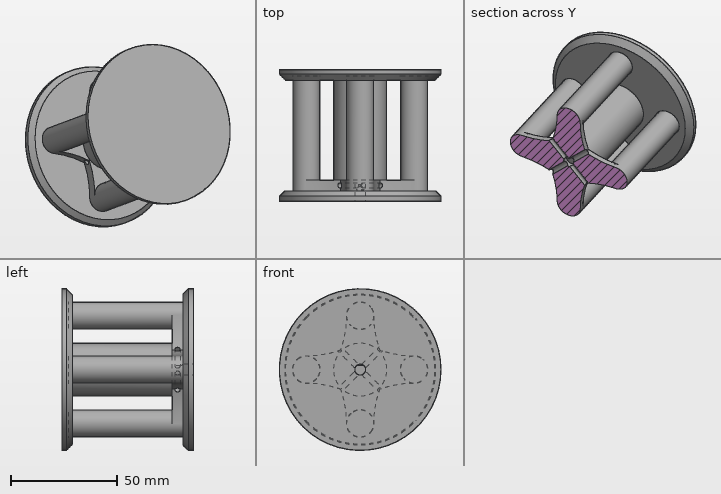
import cadquery as cq
import math

flange_diameter = 76.2
overall_length = 62.0
plate_thickness = 5.0
wheel_chamfer = 2.5
cap_chamfer = 3.0

core_diameter = 25.0
post_diameter = 12.7
post_circle_radius = 25.4
post_count = 4
post_angle_step = 360 / post_count

socket_diameter = 13.0
socket_depth = 2.0

hub_thickness = 5.0
arm_half_width = post_diameter / 2
notch_offset = 9.2

bore_diameter = 5.1
bore_radius = bore_diameter / 2
bore_flat_height = 1.9
set_screw_diameter = 2.5

cap_start = overall_length - plate_thickness
post_end = cap_start + socket_depth
hub_end = plate_thickness + hub_thickness
set_screw_y = plate_thickness + hub_thickness / 2

flank_run = post_circle_radius - notch_offset
flank_rise = notch_offset - arm_half_width
flank_radius = (flank_run**2 + flank_rise**2) / (2 * flank_rise)
flank_half_angle = math.asin(flank_run / flank_radius) / 2
flank_mid_x = post_circle_radius - flank_radius * math.sin(flank_half_angle)
flank_mid_z = arm_half_width + flank_radius * (1 - math.cos(flank_half_angle))


def plane_at(y):
    """Sketch plane across the axis: local x is X, local y is Z, its normal points to -Y."""
    return cq.Workplane(cq.Plane(origin=(0, y, 0), xDir=(1, 0, 0), normal=(0, -1, 0)))


def rod(diameter, start, end):
    """Round bar on the axis, from y = start to y = end."""
    return plane_at(end).circle(diameter / 2).extrude(end - start)


def rod_ring(diameter, start, end):
    """Round bars parallel to the axis, one at each post position."""
    centres = plane_at(end).polarArray(post_circle_radius, 0, 360, post_count, rotate=False)
    return centres.circle(diameter / 2).extrude(end - start)


def turned(body, angle):
    """The body rotated about the wheel axis."""
    return body.rotate((0, 0, 0), (0, 1, 0), angle)


def make_hub_arm():
    """One arm along +X, from the axis out to a post centre."""
    return (
        plane_at(hub_end)
        .moveTo(0, 0)
        .lineTo(notch_offset, -notch_offset)
        .threePointArc((flank_mid_x, -flank_mid_z), (post_circle_radius, -arm_half_width))
        .lineTo(post_circle_radius, arm_half_width)
        .threePointArc((flank_mid_x, flank_mid_z), (notch_offset, notch_offset))
        .close()
        .extrude(hub_thickness)
    )


def make_bore():
    """Blind shaft bore: round through the plate, then D-shaped in the hub behind a 45 degree ramp."""
    ramp_end = plate_thickness + bore_radius - bore_flat_height
    flat_block = (
        cq.Workplane("YZ")
        .moveTo(plate_thickness, bore_radius)
        .lineTo(ramp_end, bore_flat_height)
        .lineTo(hub_end, bore_flat_height)
        .lineTo(hub_end, bore_radius)
        .close()
        .extrude(bore_radius, both=True)
    )
    return rod(bore_diameter, 0, hub_end).cut(flat_block)


def make_set_screw_hole():
    """Radial hole along +X, from the bore axis to outside the notch between two arms."""
    start = cq.Workplane("YZ").center(set_screw_y, 0)
    return start.circle(set_screw_diameter / 2).extrude(2 * notch_offset)


def make_wheel():
    """Wheel with hub, core and posts in one piece."""
    wheel = rod(flange_diameter, 0, plate_thickness).faces(">Y").chamfer(wheel_chamfer)
    wheel = wheel.union(rod(core_diameter, plate_thickness, cap_start))

    hub_arm = make_hub_arm()
    for index in range(post_count):
        wheel = wheel.union(turned(hub_arm, index * post_angle_step))
    wheel = wheel.union(rod_ring(post_diameter, plate_thickness, post_end))

    wheel = wheel.cut(make_bore())
    set_screw_hole = make_set_screw_hole()
    for index in range(post_count):
        wheel = wheel.cut(turned(set_screw_hole, (index + 0.5) * post_angle_step))
    return wheel


def make_cap():
    """End plate that sits on the core, with a socket for each post."""
    cap = rod(flange_diameter, cap_start, overall_length).faces("<Y").chamfer(cap_chamfer)
    return cap.cut(rod_ring(socket_diameter, cap_start, post_end))


wheel = make_wheel()
cap = make_cap()

result = cq.Compound.makeCompound([wheel.solids().val(), cap.solids().val()])